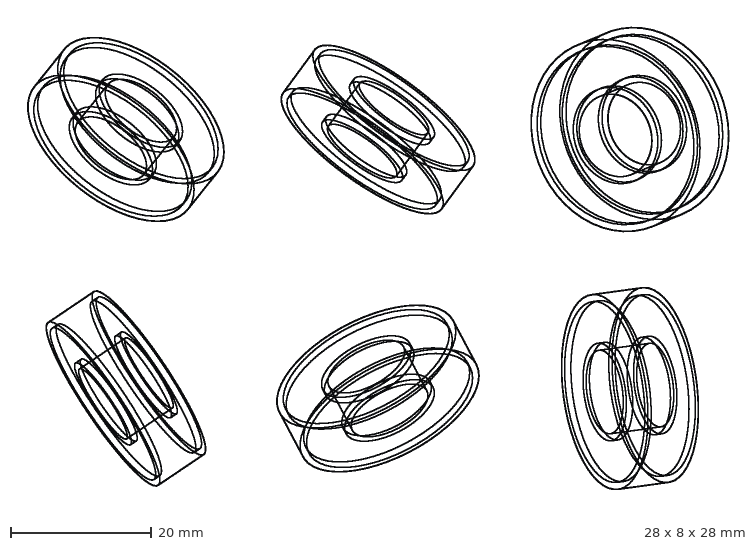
import cadquery as cq

outer_diameter = 28.0
bore_diameter = 12.0
width = 8.0
rim_wall = 1.0
recess_depth = 1.0

recess_outer_diameter = outer_diameter - 2 * rim_wall
recess_inner_diameter = bore_diameter + 2 * rim_wall


def ring(outer, inner, length, start_y):
    """Ring around the Y axis, running from start_y toward +Y."""
    plane = cq.Workplane("XZ", origin=(0, start_y, 0))
    return plane.circle(outer / 2).circle(inner / 2).extrude(-length)


body = ring(outer_diameter, bore_diameter, width, -width / 2)

for recess_start in (-width / 2, width / 2 - recess_depth):
    recess = ring(recess_outer_diameter, recess_inner_diameter, recess_depth, recess_start)
    body = body.cut(recess)

result = body